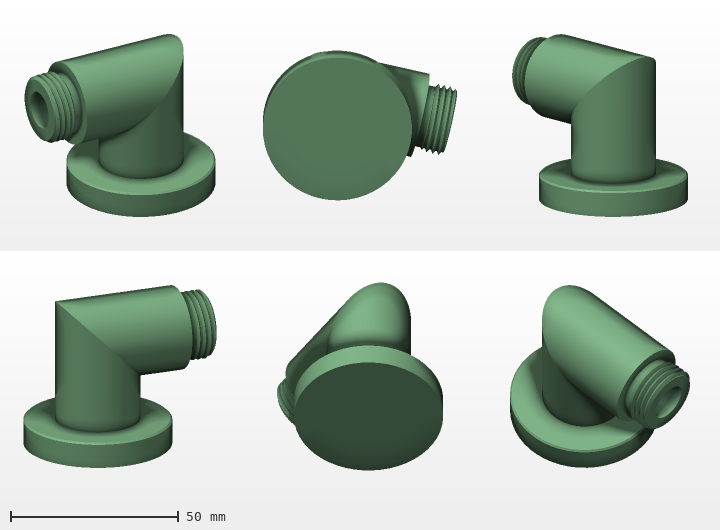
import cadquery as cq

flange_diameter = 44.45
flange_height = 7.8
flange_chamfer = 0.5

overall_height = 45.7
elbow_diameter = 25.4
elbow_radius = elbow_diameter / 2
arm_axis_height = overall_height - elbow_radius
arm_length = 25.3

overall_depth = 56.7
spigot_end = overall_depth - flange_diameter / 2
spigot_diameter = 18.6
spigot_radius = spigot_diameter / 2
bore_diameter = 11.2
bore_depth = spigot_end - arm_length

thread_diameter = 20.75
thread_radius = thread_diameter / 2
thread_pitch = 1.8
thread_start = 27.5
thread_base_width = 1.7
thread_root_overlap = 0.3
thread_clearance = 0.55
thread_end_slope = 0.8
helix_start = 26.0
helix_turns = 5.5


def make_flange():
    disc = cq.Workplane("XY").circle(flange_diameter / 2).extrude(flange_height)
    return disc.faces(">Z").chamfer(flange_chamfer)


def make_elbow():
    """Cut the column and the arm on the 45 degree mitre plane and join them."""
    r = elbow_radius
    column = cq.Workplane("XY").circle(r).extrude(overall_height)
    arm = (
        cq.Workplane("XZ", origin=(0, r, arm_axis_height))
        .circle(r)
        .extrude(r + arm_length)
    )
    above_mitre = (
        cq.Workplane("YZ")
        .moveTo(r, overall_height)
        .lineTo(-arm_length, overall_height)
        .lineTo(-arm_length, arm_axis_height - r)
        .lineTo(-r, arm_axis_height - r)
        .close()
        .extrude(r, both=True)
    )
    return column.cut(above_mitre).union(arm.intersect(above_mitre))


def make_ridge():
    """Helical V ridge around +Z, sunk slightly into the spigot and longer than the thread."""
    root_radius = spigot_radius - thread_root_overlap
    helix = cq.Wire.makeHelix(thread_pitch, thread_pitch * helix_turns, root_radius)
    return (
        cq.Workplane("XZ")
        .moveTo(root_radius, -thread_base_width / 2)
        .lineTo(thread_radius, 0)
        .lineTo(root_radius, thread_base_width / 2)
        .close()
        .sweep(cq.Workplane(helix), isFrenet=True)
        .translate((0, 0, helix_start))
    )


def make_spigot():
    """Spigot and thread built along +Z, trimmed, then laid over onto the arm axis."""
    ridge_end = helix_start + thread_pitch * (helix_turns + 1)
    rod_start = helix_start - thread_pitch
    rod = (
        cq.Workplane("XY", origin=(0, 0, rod_start))
        .circle(spigot_radius)
        .extrude(ridge_end - rod_start)
    )
    envelope_radius = thread_radius + thread_clearance
    taper_height = envelope_radius - spigot_radius
    taper_length = taper_height * thread_end_slope
    envelope = (
        cq.Workplane("XZ")
        .moveTo(0, thread_start)
        .lineTo(spigot_radius, thread_start)
        .lineTo(envelope_radius, thread_start + taper_length)
        .lineTo(envelope_radius, spigot_end - taper_length)
        .lineTo(spigot_radius, spigot_end)
        .lineTo(0, spigot_end)
        .close()
        .revolve(360, (0, 0, 0), (0, 1, 0))
    )
    neck = (
        cq.Workplane("XY", origin=(0, 0, arm_length))
        .circle(spigot_radius)
        .extrude(thread_start - arm_length)
    )
    return (
        rod.union(make_ridge())
        .intersect(envelope)
        .union(neck)
        .rotate((0, 0, 0), (1, 0, 0), 90)
        .translate((0, 0, arm_axis_height))
    )


bore = (
    cq.Workplane("XZ", origin=(0, -spigot_end, arm_axis_height))
    .circle(bore_diameter / 2)
    .extrude(-bore_depth)
)

result = make_flange().union(make_elbow()).union(make_spigot()).cut(bore)